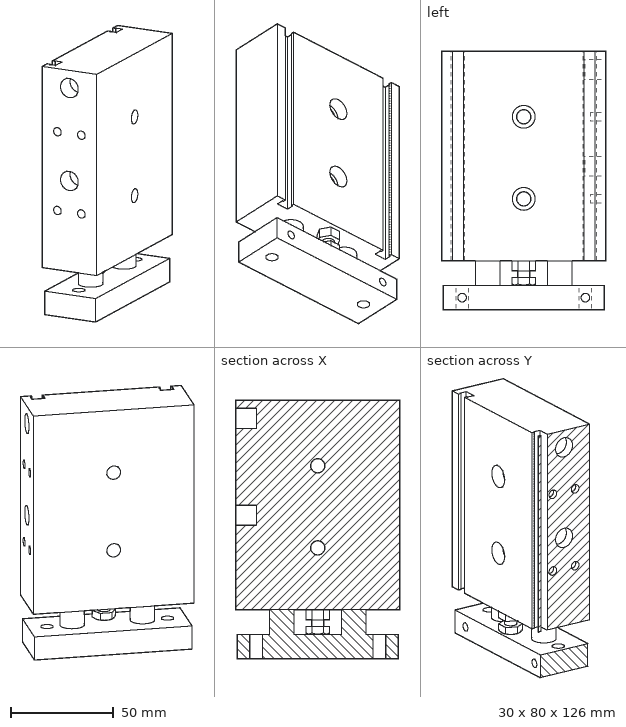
import cadquery as cq
import math


total_height = 126.0
plate_height = 12.0
stroke_gap = 12.0
housing_bottom = plate_height + stroke_gap
housing_height = total_height - housing_bottom

housing_thickness = 30.0
housing_width = 80.0
housing_left = -housing_thickness / 2
housing_front = -housing_width / 2

slot_y = 32.0
slot_mouth_width = 5.3
slot_inner_width = 6.5
slot_lip = 1.5
slot_depth = 5.0

mount_drops = (32.0, 72.0)
mount_diameter = 6.8
counterbore_diameter = 11.1
counterbore_depth = 6.4
tapped_diameter = 4.2
tapped_depth = 7.5
tapped_x = 6.5

port_drops = (9.0, 56.1)
port_diameter = 9.7
port_depth = 10.1

plate_thickness = 28.0
plate_width = 78.5
plate_hole_y = 30.0
plate_bolt_diameter = 6.0
plate_tapped_depth = 7.5
rod_diameter = 12.0
rod_y = 17.5

bolt_x = -7.7
shank_diameter = 6.0
hex_across_flats = 10.1
hex_across_corners = hex_across_flats / math.cos(math.pi / 6)
nut_height = 4.9
head_height = 3.9
bevel_end_diameter = 9.5
bevel_angle = math.radians(30)


def z_prism(length, width, bottom, height):
    """Upright block centred on X and Y."""
    return cq.Workplane("XY", origin=(0, 0, bottom)).rect(length, width).extrude(height)


def bore_along_x(diameter, start_x, depth, y, z):
    """Cylinder that starts at start_x and runs toward +X."""
    return cq.Workplane("YZ", origin=(start_x, y, z)).circle(diameter / 2).extrude(depth)


def bore_along_y(diameter, depth, x, z):
    """Cylinder that starts at the -Y face of the housing and runs toward +Y."""
    return cq.Workplane("XZ", origin=(x, housing_front, z)).circle(diameter / 2).extrude(-depth)


def make_t_slot(y):
    """Cutter for a full-height slot with a narrow mouth and a wider inside."""
    mouth = (
        cq.Workplane("XY", origin=(housing_left + slot_depth / 2, y, housing_bottom))
        .rect(slot_depth, slot_mouth_width)
        .extrude(housing_height)
    )
    inner_depth = slot_depth - slot_lip
    inside = (
        cq.Workplane("XY", origin=(housing_left + slot_lip + inner_depth / 2, y, housing_bottom))
        .rect(inner_depth, slot_inner_width)
        .extrude(housing_height)
    )
    return mouth.union(inside)


def make_housing():
    housing = z_prism(housing_thickness, housing_width, housing_bottom, housing_height)

    for y in (-slot_y, slot_y):
        housing = housing.cut(make_t_slot(y))

    for drop in mount_drops:
        z = total_height - drop
        housing = housing.cut(bore_along_x(mount_diameter, housing_left, housing_thickness, 0, z))
        housing = housing.cut(bore_along_x(counterbore_diameter, housing_left, counterbore_depth, 0, z))
        for x in (-tapped_x, tapped_x):
            housing = housing.cut(bore_along_y(tapped_diameter, tapped_depth, x, z))

    for drop in port_drops:
        housing = housing.cut(bore_along_y(port_diameter, port_depth, 0, total_height - drop))

    return housing


def make_rod_plate():
    """End plate with the two piston rods standing on it, up to the housing."""
    plate = z_prism(plate_thickness, plate_width, 0, plate_height)
    for side in (-1, 1):
        rod = (
            cq.Workplane("XY", origin=(0, side * rod_y, 0))
            .circle(rod_diameter / 2)
            .extrude(housing_bottom)
        )
        bolt_hole = (
            cq.Workplane("XY", origin=(0, side * plate_hole_y, 0))
            .circle(plate_bolt_diameter / 2)
            .extrude(plate_height)
        )
        side_hole = bore_along_x(
            tapped_diameter, -plate_thickness / 2, plate_tapped_depth, side * plate_hole_y, plate_height / 2
        )
        plate = plate.union(rod).cut(bolt_hole).cut(side_hole)
    return plate


def make_hexagon(bottom, height):
    """Hexagonal prism on the bolt axis, with flats facing -X and +X."""
    return (
        cq.Workplane("XY", origin=(bolt_x, 0, bottom))
        .transformed(rotate=(0, 0, 90))
        .polygon(6, hex_across_corners)
        .extrude(height)
    )


def make_stop_bolt():
    """Bolt head resting on the plate, shank, and lock nut against the housing."""
    shank = (
        cq.Workplane("XY", origin=(bolt_x, 0, plate_height))
        .circle(shank_diameter / 2)
        .extrude(stroke_gap)
    )
    nut = make_hexagon(housing_bottom - nut_height, nut_height)

    end_radius = bevel_end_diameter / 2
    cone_radius = end_radius + head_height / math.tan(bevel_angle)
    cone = cq.Workplane(
        cq.Solid.makeCone(end_radius, cone_radius, head_height, cq.Vector(bolt_x, 0, plate_height))
    )
    head = make_hexagon(plate_height, head_height).intersect(cone)

    return shank.union(nut).union(head)


housing = make_housing()
rod_plate = make_rod_plate()
stop_bolt = make_stop_bolt()

result = cq.Compound.makeCompound([housing.val(), rod_plate.val(), stop_bolt.val()])